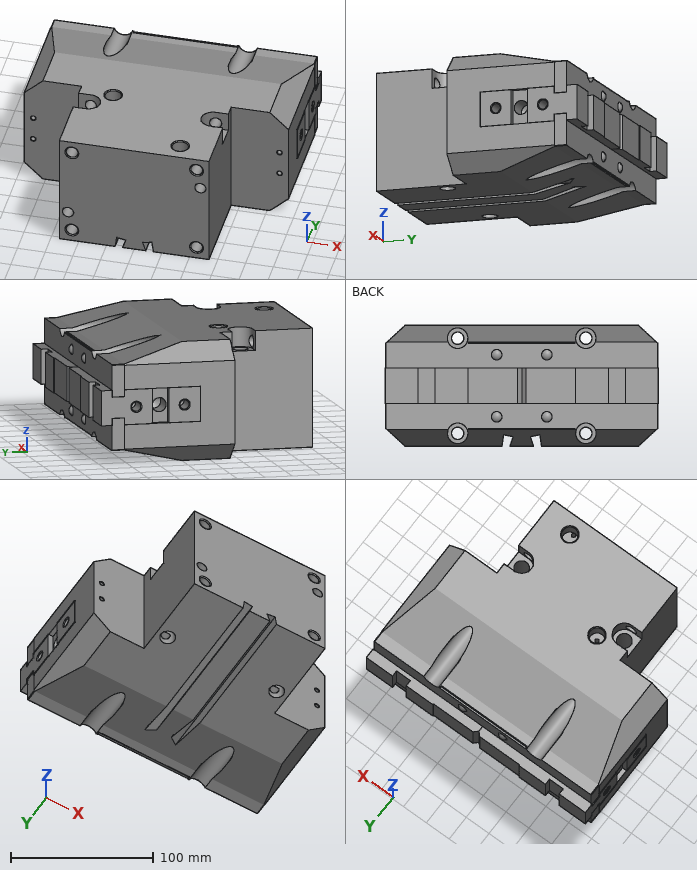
import cadquery as cq
import math

height = 85.0
base_width = 108.0
base_length = 67.0
head_width = 191.0
taper_start_y = 102.0
cover_start_y = 147.0
housing_length = 156.0
cover_half_height = 30.7
cover_side_inset = 0.3
corner_chamfer_x = 13.6
corner_chamfer_z = 12.6

jaw_span = 192.0
jaw_thickness = 25.0
jaw_neck_thickness = 15.2
jaw_start_y = 92.0
jaw_end_y = 164.0
jaw_relief_half_length = 37.7
jaw_relief_depth = 0.7
jaw_meeting_chamfer = 3.0
jaw_key_width = 12.0
jaw_end_key_y = 121.0
jaw_end_key_depth = 4.0
jaw_face_key_x = 67.0
jaw_face_key_depth = 4.8
jaw_dowel_diameter = 10.0
jaw_thread_diameter = 6.6
jaw_thread_mouth_diameter = 8.0
jaw_thread_spacing = 35.0
jaw_hole_depth = 15.0

bolt_x = 45.0
bolt_z = 33.4
bolt_diameter = 8.5
bolt_mouth_diameter = 10.0
bolt_head_diameter = 14.4
bolt_head_seat_y = 95.0
cross_bolt_y = 50.0
cross_bolt_diameter = 11.0
pocket_width = 17.0
pocket_depth = 14.0

dowel_x = 47.8
dowel_z = 18.4
dowel_diameter = 8.0
dowel_depth = 15.0
side_screw_x = 88.9
side_screw_z = 9.0
side_screw_diameter = 3.3
side_screw_mouth_diameter = 4.0
side_screw_depth = 10.0
drill_tip_angle = 118.0

ports = [(-30.0, 62.0, 62.0), (30.0, 13.5, 9.2)]
port_diameter = 11.6
port_mouth_diameter = 13.0
port_depth = 12.0
feed_diameter = 3.0
feed_depth = 10.0

groove_mouth_inner_x = 8.4
groove_mouth_outer_x = 13.8
groove_floor_inner = (6.1, 6.7)
groove_floor_outer = (12.7, 8.0)

strip_length = 74.8
strip_thickness = 1.5
strip_setback = 0.7
strip_groove_width = 0.5
strip_groove_depth = 1.0
button_x = 17.6
button_z = 21.8
button_diameter = 7.4
button_height = 2.0

half_height = height / 2
half_jaw_span = jaw_span / 2
signs = (-1, 1)


def box(x_min, x_max, y_min, y_max, z_min, z_max):
    size = (x_max - x_min, y_max - y_min, z_max - z_min)
    return cq.Workplane("XY").box(*size, centered=False).translate((x_min, y_min, z_min))


def bore(start, direction, diameter, depth):
    """A flat-ended cylinder that runs from start along direction."""
    return cq.Workplane(cq.Solid.makeCylinder(diameter / 2, depth, cq.Vector(*start), cq.Vector(*direction)))


def mouth_chamfer(start, direction, mouth_diameter, diameter):
    """A 45 degree cone that opens a bore from diameter to mouth_diameter."""
    depth = (mouth_diameter - diameter) / 2
    return cq.Workplane(
        cq.Solid.makeCone(mouth_diameter / 2, diameter / 2, depth, cq.Vector(*start), cq.Vector(*direction))
    )


def drilled_hole(start, direction, diameter, depth):
    """A blind bore that ends in a drill-point cone."""
    radius = diameter / 2
    tip_length = radius / math.tan(math.radians(drill_tip_angle / 2))
    axis = cq.Vector(*direction)
    floor = cq.Vector(*start) + axis * depth
    tip = cq.Workplane(cq.Solid.makeCone(radius, 0, tip_length, floor, axis))
    return bore(start, direction, diameter, depth).union(tip)


def housing_blank():
    head_half = head_width / 2
    cross_section = [
        (head_half, half_height - corner_chamfer_z),
        (head_half - corner_chamfer_x, half_height),
    ]
    right_side = [(x, -z) for x, z in reversed(cross_section)] + cross_section
    left_side = [(-x, -z) for x, z in right_side]
    head = (
        cq.Workplane("XZ", origin=(0, base_length, 0))
        .polyline(right_side + left_side)
        .close()
        .extrude(base_length - housing_length)
    )
    side_profile = [
        (base_length, half_height),
        (taper_start_y, half_height),
        (cover_start_y, cover_half_height),
        (housing_length, cover_half_height),
    ]
    lower_profile = [(y, -z) for y, z in reversed(side_profile)]
    envelope = (
        cq.Workplane("YZ").polyline(side_profile + lower_profile).close().extrude(head_half, both=True)
    )
    head = head.intersect(envelope)
    for side in signs:
        inner, outer = sorted((side * (head_half - cover_side_inset), side * (head_half + 1)))
        head = head.cut(box(inner, outer, cover_start_y, housing_length, -half_height, half_height))
    base = box(-base_width / 2, base_width / 2, 0, base_length, -half_height, half_height)
    return head.union(base)


def jaw_channel():
    half_wide = jaw_thickness / 2
    half_neck = jaw_neck_thickness / 2
    wide = box(-half_jaw_span, half_jaw_span, jaw_start_y, cover_start_y, -half_wide, half_wide)
    neck = box(-half_jaw_span, half_jaw_span, cover_start_y, housing_length, -half_neck, half_neck)
    return wide.union(neck)


def wiper_strip_relief(side):
    """A shallow step along the strip, with a narrow groove just behind it."""
    half_length = strip_length / 2
    step_y = housing_length - strip_thickness
    step_low, step_high = sorted((side * (cover_half_height - strip_setback), side * half_height))
    groove_low, groove_high = sorted((side * (cover_half_height - strip_groove_depth), side * half_height))
    step = box(-half_length, half_length, step_y, housing_length, step_low, step_high)
    groove = box(-half_length, half_length, step_y - strip_groove_width, step_y, groove_low, groove_high)
    return step.union(groove)


def button_head(x, z):
    """A spherical cap standing on the end of the cover."""
    base_radius = button_diameter / 2
    sphere_radius = (base_radius**2 + button_height**2) / (2 * button_height)
    sphere_centre = (x, housing_length + button_height - sphere_radius, z)
    sphere = cq.Workplane("XY").sphere(sphere_radius).translate(sphere_centre)
    return sphere.intersect(bore((x, housing_length, z), (0, 1, 0), button_diameter, button_height))


def mounting_bolt_hole(x, z):
    start = (x, 0, z)
    along = (0, 1, 0)
    head_depth = housing_length - bolt_head_seat_y
    return (
        bore(start, along, bolt_diameter, housing_length)
        .union(mouth_chamfer(start, along, bolt_mouth_diameter, bolt_diameter))
        .union(bore((x, bolt_head_seat_y, z), along, bolt_head_diameter, head_depth))
    )


def cross_bolt_hole(side):
    floor_z = half_height - pocket_depth
    centre_x = side * bolt_x
    inner, outer = sorted((centre_x, side * base_width / 2))
    half_width = pocket_width / 2
    round_end = bore((centre_x, cross_bolt_y, floor_z), (0, 0, 1), pocket_width, pocket_depth)
    open_end = box(inner, outer, cross_bolt_y - half_width, cross_bolt_y + half_width, floor_z, half_height)
    shank = bore((centre_x, cross_bolt_y, -half_height), (0, 0, 1), cross_bolt_diameter, height)
    return round_end.union(open_end).union(shank)


def port(x, y, feed_y):
    mouth = (x, y, half_height)
    down = (0, 0, -1)
    feed_start = (x, feed_y, half_height - port_depth)
    return (
        bore(mouth, down, port_diameter, port_depth)
        .union(mouth_chamfer(mouth, down, port_mouth_diameter, port_diameter))
        .union(drilled_hole(feed_start, down, feed_diameter, feed_depth))
    )


def side_screw_hole(x, z):
    start = (x, base_length, z)
    along = (0, 1, 0)
    return drilled_hole(start, along, side_screw_diameter, side_screw_depth).union(
        mouth_chamfer(start, along, side_screw_mouth_diameter, side_screw_diameter)
    )


def sensor_groove(side):
    floor_inner_x, floor_inner_height = groove_floor_inner
    floor_outer_x, floor_outer_height = groove_floor_outer
    outline = [
        (side * groove_mouth_inner_x, -half_height),
        (side * floor_inner_x, floor_inner_height - half_height),
        (side * floor_outer_x, floor_outer_height - half_height),
        (side * groove_mouth_outer_x, -half_height),
    ]
    return cq.Workplane("XZ").polyline(outline).close().extrude(-housing_length)


def make_housing():
    body = housing_blank().cut(jaw_channel())
    for side in signs:
        body = body.cut(wiper_strip_relief(side))
        body = body.cut(cross_bolt_hole(side))
        body = body.cut(sensor_groove(side))
        dowel_start = (side * dowel_x, 0, side * dowel_z)
        body = body.cut(drilled_hole(dowel_start, (0, 1, 0), dowel_diameter, dowel_depth))
        for level in signs:
            body = body.cut(mounting_bolt_hole(side * bolt_x, level * bolt_z))
            body = body.cut(side_screw_hole(side * side_screw_x, level * side_screw_z))
            body = body.union(button_head(side * button_x, level * button_z))
    for x, y, feed_y in ports:
        body = body.cut(port(x, y, feed_y))
    return body


def jaw_end_holes():
    """Holes in the outer (-X) end: a dowel hole in the key slot and a thread on each side of it."""
    inward = (1, 0, 0)
    slot_floor_x = jaw_end_key_depth - half_jaw_span
    holes = drilled_hole((slot_floor_x, jaw_end_key_y, 0), inward, jaw_dowel_diameter, jaw_hole_depth)
    for side in signs:
        start = (-half_jaw_span, jaw_end_key_y + side * jaw_thread_spacing / 2, 0)
        holes = holes.union(drilled_hole(start, inward, jaw_thread_diameter, jaw_hole_depth))
        holes = holes.union(mouth_chamfer(start, inward, jaw_thread_mouth_diameter, jaw_thread_diameter))
    return holes


def make_left_jaw():
    half_wide = jaw_thickness / 2
    relief_y = jaw_end_y - jaw_relief_depth
    key_half = jaw_key_width / 2
    outline = [
        (-half_jaw_span, jaw_start_y),
        (0, jaw_start_y),
        (0, relief_y - jaw_meeting_chamfer),
        (-jaw_meeting_chamfer, relief_y),
        (-jaw_relief_half_length, relief_y),
        (-jaw_relief_half_length, jaw_end_y),
        (-jaw_face_key_x + key_half, jaw_end_y),
        (-jaw_face_key_x + key_half, jaw_end_y - jaw_face_key_depth),
        (-jaw_face_key_x - key_half, jaw_end_y - jaw_face_key_depth),
        (-jaw_face_key_x - key_half, jaw_end_y),
        (-half_jaw_span, jaw_end_y),
        (-half_jaw_span, jaw_end_key_y + key_half),
        (-half_jaw_span + jaw_end_key_depth, jaw_end_key_y + key_half),
        (-half_jaw_span + jaw_end_key_depth, jaw_end_key_y - key_half),
        (-half_jaw_span, jaw_end_key_y - key_half),
    ]
    jaw = cq.Workplane("XY").polyline(outline).close().extrude(half_wide, both=True)
    for side in signs:
        low, high = sorted((side * jaw_neck_thickness / 2, side * half_wide))
        jaw = jaw.cut(box(-half_jaw_span, 0, cover_start_y, housing_length, low, high))
    return jaw.cut(jaw_end_holes())


housing = make_housing()
left_jaw = make_left_jaw()
right_jaw = left_jaw.mirror("YZ")

result = cq.Compound.makeCompound([housing.val(), left_jaw.val(), right_jaw.val()])